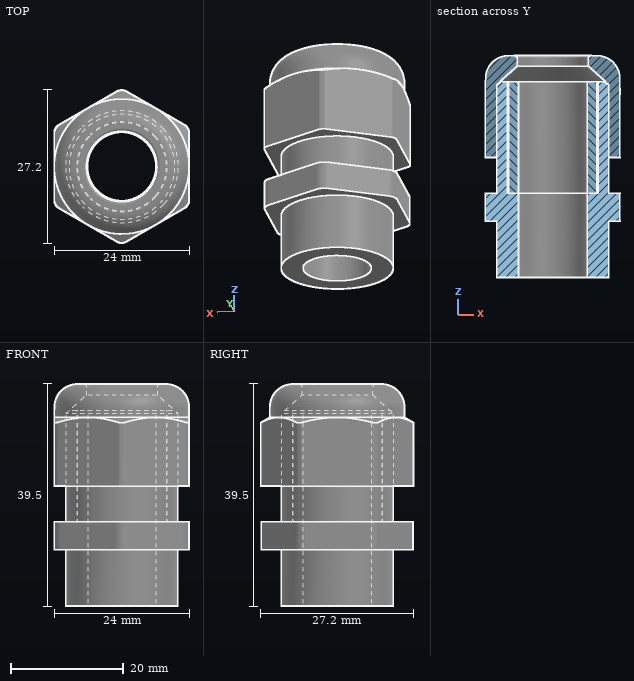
import cadquery as cq
import math

total_height = 39.5
across_flats = 24.0
thread_radius = 10.0

flange_bottom = 10.0
flange_top = 15.0
flange_corner_radius = 2.2
body_top = 34.85
bore_radius = 6.1

seal_radius = 7.9
seal_clearance = 0.1
seal_bottom = flange_top

cap_bottom = 21.33
hex_top = 33.55
cap_corner_reach = 13.608
cap_corner_radius = 1.0
corner_chamfer_angle = 30.0
dome_radius = 4.15
dome_bottom = 35.4
dome_flat_radius = 8.15
lip_bottom = 37.6
lip_hole_radius = 6.3
lip_edge_radius = 0.55
cone_bottom = 34.3


def hex_prism(bottom, top):
    """Vertical hexagonal prism with two flats facing X."""
    across_corners = across_flats / math.cos(math.radians(30))
    return (
        cq.Workplane("XY", origin=(0, 0, bottom))
        .transformed(rotate=(0, 0, 30))
        .polygon(6, across_corners)
        .extrude(top - bottom)
    )


def cylinder(radius, bottom, top):
    return cq.Workplane("XY", origin=(0, 0, bottom)).circle(radius).extrude(top - bottom)


def revolved(profile):
    """Turn a closed (radius, height) profile around the Z axis."""
    return profile.close().revolve(360, (0, 0, 0), (0, 1, 0))


def barrel_with_cone(bottom):
    """Round barrel narrowing to the lip hole: the cap cavity and the body inside it share it."""
    return revolved(
        cq.Workplane("XZ").polyline([
            (0, bottom),
            (thread_radius, bottom),
            (thread_radius, cone_bottom),
            (lip_hole_radius, lip_bottom),
            (0, lip_bottom),
        ])
    )


def make_gland_body():
    barrel = barrel_with_cone(0).cut(cylinder(thread_radius, body_top, lip_bottom))
    flange = hex_prism(flange_bottom, flange_top).edges("|Z").fillet(flange_corner_radius)
    bore = cylinder(bore_radius, 0, body_top)
    seal_seat = cylinder(seal_radius + seal_clearance, seal_bottom, body_top)
    return barrel.union(flange).cut(bore).cut(seal_seat)


def make_seal():
    sleeve = cylinder(seal_radius, seal_bottom, body_top)
    return sleeve.cut(cylinder(bore_radius, seal_bottom, body_top))


def corner_chamfer_cone():
    """Solid that trims the upper hexagon corners to a cone starting at the flats."""
    inner_radius = across_flats / 2
    outer_radius = inner_radius + (hex_top - cap_bottom) / math.tan(math.radians(corner_chamfer_angle))
    return revolved(
        cq.Workplane("XZ").polyline([
            (0, cap_bottom),
            (outer_radius, cap_bottom),
            (inner_radius, hex_top),
            (0, hex_top),
        ])
    )


def make_cap_hexagon():
    turned = hex_prism(cap_bottom, hex_top).intersect(cylinder(cap_corner_reach, cap_bottom, hex_top))
    return turned.edges("|Z").fillet(cap_corner_radius).intersect(corner_chamfer_cone())


def make_dome():
    outer_radius = across_flats / 2
    return revolved(
        cq.Workplane("XZ")
        .moveTo(0, hex_top)
        .lineTo(outer_radius, hex_top)
        .lineTo(outer_radius, dome_bottom)
        .radiusArc((dome_flat_radius, total_height), -dome_radius)
        .lineTo(0, total_height)
    )


def make_cap_nut():
    cap = make_cap_hexagon().union(make_dome()).cut(barrel_with_cone(cap_bottom))
    cap = cap.cut(cylinder(lip_hole_radius, lip_bottom, total_height))
    hole_rim = cq.selectors.RadiusNthSelector(0)
    return cap.faces(">Z").edges(hole_rim).fillet(lip_edge_radius)


gland_body = make_gland_body()
seal = make_seal()
cap_nut = make_cap_nut()
result = cq.Compound.makeCompound([gland_body.val(), seal.val(), cap_nut.val()])